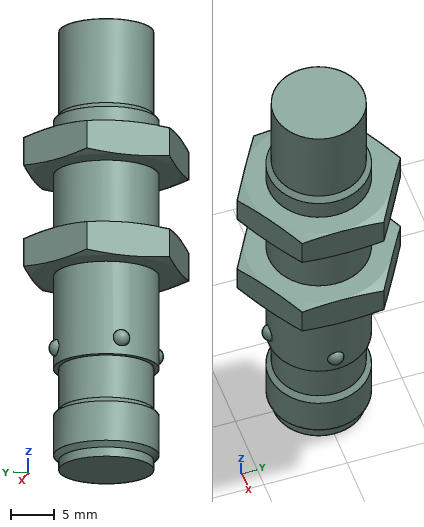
import cadquery as cq
import math

length = 52
body_diameter = 12.0
end_diameter = 10.8
edge_chamfer = 0.6

foot_height = 1.1
ring_top = 7.0
body_bottom = 12.0
tip_length = 10.0
body_top = length - tip_length

dome_count = 4
dome_radius = 1.0
dome_reach = 6.75
dome_height = 14.0

nut_flats = 17.0
nut_thickness = 4.0
nut_spacing = 12.0
upper_nut_bottom = 35.0
nut_count = 2
nut_face_diameter = 16.9
nut_chamfer_angle = 15


def make_housing():
    """Stepped round housing with chamfered shoulders and a ring of domes."""
    body_radius = body_diameter / 2
    end_radius = end_diameter / 2
    profile = [
        (0, 0),
        (end_radius, 0),
        (end_radius, foot_height),
        (body_radius, foot_height + edge_chamfer),
        (body_radius, ring_top - edge_chamfer),
        (end_radius, ring_top),
        (end_radius, body_bottom),
        (body_radius, body_bottom),
        (body_radius, body_top - edge_chamfer),
        (end_radius, body_top),
        (end_radius, length),
        (0, length),
    ]
    housing = cq.Workplane("XZ").polyline(profile).close().revolve(360, (0, 0), (0, 1))
    for index in range(dome_count):
        angle = 2 * math.pi * index / dome_count
        distance = dome_reach - dome_radius
        center = (distance * math.cos(angle), distance * math.sin(angle), dome_height)
        housing = housing.union(cq.Workplane("XY").sphere(dome_radius).translate(center))
    return housing


def make_nut(bottom):
    """Hexagon nut bored to fit the body, with both faces chamfered at the corners."""
    corner_diameter = nut_flats / math.cos(math.pi / 6)
    corner_radius = corner_diameter / 2
    face_radius = nut_face_diameter / 2
    chamfer_drop = (corner_radius - face_radius) * math.tan(math.radians(nut_chamfer_angle))
    hexagon = (
        cq.Workplane("XY")
        .polygon(6, corner_diameter)
        .extrude(nut_thickness)
        .rotate((0, 0, 0), (0, 0, 1), 30)
    )
    envelope_profile = [
        (0, 0),
        (face_radius, 0),
        (corner_radius, chamfer_drop),
        (corner_radius, nut_thickness - chamfer_drop),
        (face_radius, nut_thickness),
        (0, nut_thickness),
    ]
    envelope = cq.Workplane("XZ").polyline(envelope_profile).close().revolve(360, (0, 0), (0, 1))
    bore = cq.Workplane("XY").circle(body_diameter / 2).extrude(nut_thickness)
    return hexagon.intersect(envelope).cut(bore).translate((0, 0, bottom))


housing = make_housing()
nuts = [make_nut(upper_nut_bottom - index * nut_spacing) for index in range(nut_count)]

result = cq.Compound.makeCompound([housing.val(), *[nut.val() for nut in nuts]])